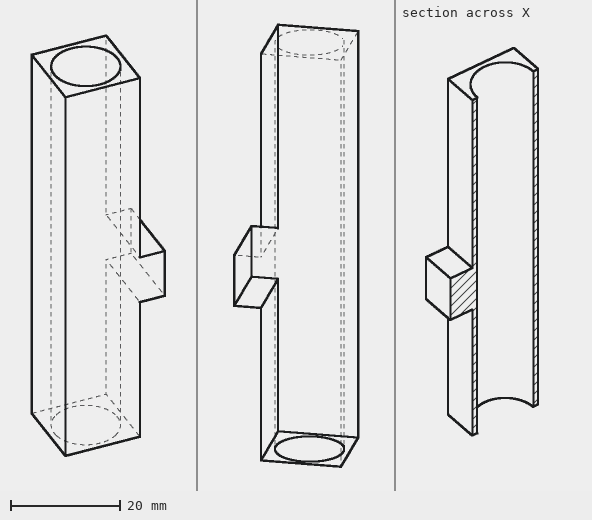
import cadquery as cq

body_side = 15.0
body_height = 80.0
bore_diameter = 12.7

tab_depth = 5.0
tab_height = 10.0
tab_bottom = 30.0


def make_body():
    """Square column standing on Z = 0, centred on the Z axis."""
    return cq.Workplane("XY").rect(body_side, body_side).extrude(body_height)


def make_tab():
    """Block projecting from the +Y face of the body."""
    return (
        cq.Workplane("XY", origin=(0, (body_side + tab_depth) / 2, tab_bottom))
        .rect(body_side, tab_depth)
        .extrude(tab_height)
    )


def make_bore():
    """Round bore running the full height of the body."""
    return cq.Workplane("XY").circle(bore_diameter / 2).extrude(body_height)


result = make_body().union(make_tab()).cut(make_bore())